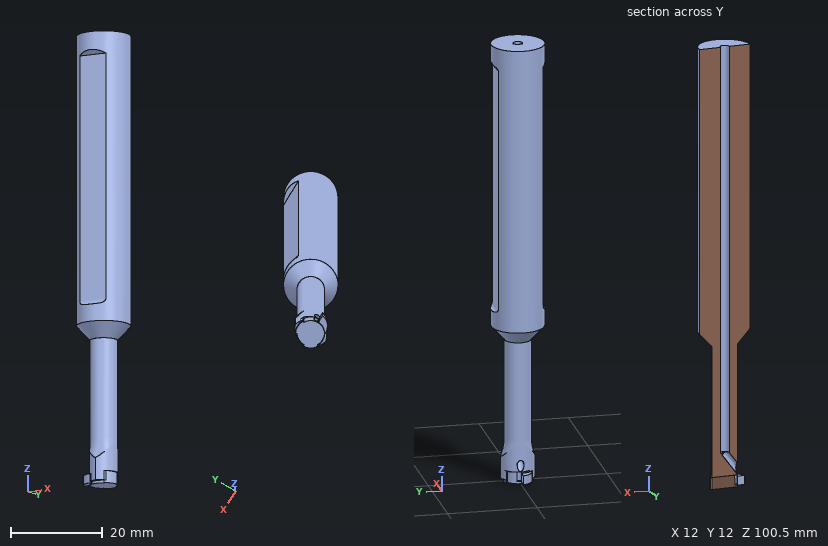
import cadquery as cq
import math

TOTAL_LENGTH = 100.5
SHANK_RADIUS = 5.98
NECK_RADIUS = 3.0
SHANK_BOTTOM = 35.7
CONE_BOTTOM = 32.5

FLAT_OFFSET = 5.0
FLAT_BOTTOM = 40.6
RUNOUT_RADIUS = 1.1
FLAT_TOP = 95.5

HEAD_BOTTOM = 0.6
HEAD_RADIUS = 3.87
FLARE_BOTTOM = 5.5
FLARE_RADIUS = 11.6
FLARE_TOP = FLARE_BOTTOM + math.sqrt(FLARE_RADIUS**2 - (FLARE_RADIUS - HEAD_RADIUS + NECK_RADIUS) ** 2)

BORE_RADIUS = 1.0
OUTLET_RADIUS = 0.75
OUTLET_Z = 4.1
OUTLET_ANGLE = math.radians(37)
BORE_BOTTOM = OUTLET_Z + NECK_RADIUS / math.tan(OUTLET_ANGLE)
OUTLET_OVERRUN = 1.5

LUG_COUNT = 3
LUG_PITCH = 360 / LUG_COUNT
LUG_START = 180.0
LUG_SPAN = 60.0
LUG_RADIUS = 3.3
LUG_TOP = 2.7
TOOTH_BOTTOM = 0.3
TOOTH_TOP = 2.4
TOOTH_REACH = 4.8
TOOTH_RAKE_Y = -0.2
TOOTH_HEEL = (-4.5, -1.1)
TOOTH_BACK_MIDDLE = (-3.5, -2.2)
TOOTH_ROOT_X = -2.4

GULLET_RADIUS = 0.5
GULLET_CENTER = (-2.8, TOOTH_RAKE_Y + GULLET_RADIUS)
POCKET_SIDE_Y = LUG_RADIUS * math.sin(math.radians(LUG_SPAN))


def polar(radius, degrees):
    angle = math.radians(degrees)
    return radius * math.cos(angle), radius * math.sin(angle)


def cylinder(radius, bottom, top):
    return cq.Workplane("XY", origin=(0, 0, bottom)).circle(radius).extrude(top - bottom)


def turned_blank():
    """Solid of revolution from the head to the top of the shank."""
    half_angle = math.asin((FLARE_TOP - FLARE_BOTTOM) / FLARE_RADIUS) / 2
    flare_middle = (
        NECK_RADIUS + FLARE_RADIUS * (1 - math.cos(half_angle)),
        FLARE_TOP - FLARE_RADIUS * math.sin(half_angle),
    )
    return (
        cq.Workplane("XZ")
        .moveTo(0, HEAD_BOTTOM)
        .lineTo(HEAD_RADIUS, HEAD_BOTTOM)
        .lineTo(HEAD_RADIUS, FLARE_BOTTOM)
        .threePointArc(flare_middle, (NECK_RADIUS, FLARE_TOP))
        .lineTo(NECK_RADIUS, CONE_BOTTOM)
        .lineTo(SHANK_RADIUS, SHANK_BOTTOM)
        .lineTo(SHANK_RADIUS, TOTAL_LENGTH)
        .lineTo(0, TOTAL_LENGTH)
        .close()
        .revolve(360, (0, 0, 0), (0, 1, 0))
    )


def head_trim():
    """Material outside the lens section, up to the start of the flare."""
    lens = (
        cq.Workplane("XY")
        .moveTo(0, -HEAD_RADIUS)
        .threePointArc((NECK_RADIUS, 0), (0, HEAD_RADIUS))
        .threePointArc((-NECK_RADIUS, 0), (0, -HEAD_RADIUS))
        .close()
        .extrude(FLARE_TOP)
    )
    return cylinder(2 * HEAD_RADIUS, 0, FLARE_TOP).cut(lens)


def flat_cutter():
    """Cutter for the clamping flat on the -Y side."""
    outer_y = -FLAT_OFFSET - RUNOUT_RADIUS
    runout_bottom = FLAT_BOTTOM - RUNOUT_RADIUS
    diagonal = RUNOUT_RADIUS * math.sqrt(0.5)
    return (
        cq.Workplane("YZ")
        .moveTo(-FLAT_OFFSET, FLAT_TOP)
        .lineTo(-FLAT_OFFSET, FLAT_BOTTOM)
        .threePointArc((outer_y + diagonal, FLAT_BOTTOM - diagonal), (outer_y, runout_bottom))
        .lineTo(outer_y, FLAT_TOP + RUNOUT_RADIUS)
        .close()
        .extrude(SHANK_RADIUS, both=True)
    )


def coolant_passage():
    bore = cylinder(BORE_RADIUS, BORE_BOTTOM, TOTAL_LENGTH)
    direction = cq.Vector(-math.sin(OUTLET_ANGLE), 0, -math.cos(OUTLET_ANGLE))
    length = NECK_RADIUS / math.sin(OUTLET_ANGLE) + OUTLET_OVERRUN
    outlet = cq.Solid.makeCylinder(OUTLET_RADIUS, length, cq.Vector(0, 0, BORE_BOTTOM), direction)
    return bore.union(cq.Workplane(outlet))


def coupling_lug(start):
    """Pie-shaped lug reaching beyond the insert core into the head."""
    return (
        cq.Workplane("XY")
        .lineTo(*polar(LUG_RADIUS, start))
        .threePointArc(polar(LUG_RADIUS, start + LUG_SPAN / 2), polar(LUG_RADIUS, start + LUG_SPAN))
        .close()
        .extrude(LUG_TOP)
    )


def cutting_tooth():
    """Tooth with a flat rake face towards +Y and a curved back."""
    return (
        cq.Workplane("XY", origin=(0, 0, TOOTH_BOTTOM))
        .moveTo(0, 0)
        .lineTo(TOOTH_ROOT_X, TOOTH_RAKE_Y)
        .lineTo(-TOOTH_REACH, TOOTH_RAKE_Y)
        .lineTo(*TOOTH_HEEL)
        .threePointArc(TOOTH_BACK_MIDDLE, polar(LUG_RADIUS, LUG_START + LUG_SPAN))
        .close()
        .extrude(TOOTH_TOP - TOOTH_BOTTOM)
    )


def gullet_cutter():
    """Round groove in the insert core along the rake face."""
    return (
        cq.Workplane("XY", origin=(0, 0, HEAD_BOTTOM))
        .center(*GULLET_CENTER)
        .circle(GULLET_RADIUS)
        .extrude(LUG_TOP - HEAD_BOTTOM)
    )


def chip_pocket():
    """Open pocket on the -X side of the head, between the tooth and the next lug."""
    return (
        cq.Workplane("XY")
        .moveTo(0, TOOTH_RAKE_Y)
        .lineTo(-HEAD_RADIUS, TOOTH_RAKE_Y)
        .lineTo(-HEAD_RADIUS, POCKET_SIDE_Y)
        .lineTo(*polar(LUG_RADIUS, LUG_START - LUG_SPAN))
        .close()
        .extrude(LUG_TOP)
    )


def make_insert():
    insert = cylinder(NECK_RADIUS, 0, LUG_TOP).cut(gullet_cutter())
    for index in range(1, LUG_COUNT):
        insert = insert.union(coupling_lug(LUG_START + index * LUG_PITCH))
    return insert.union(cutting_tooth())


def make_holder(insert):
    holder = turned_blank().cut(head_trim())
    flat = flat_cutter()
    holder = holder.cut(flat).cut(flat.mirror("XZ"))
    return holder.cut(coolant_passage()).cut(chip_pocket()).cut(insert)


insert = make_insert()
holder = make_holder(insert)
result = cq.Compound.makeCompound([holder.val(), insert.val()])